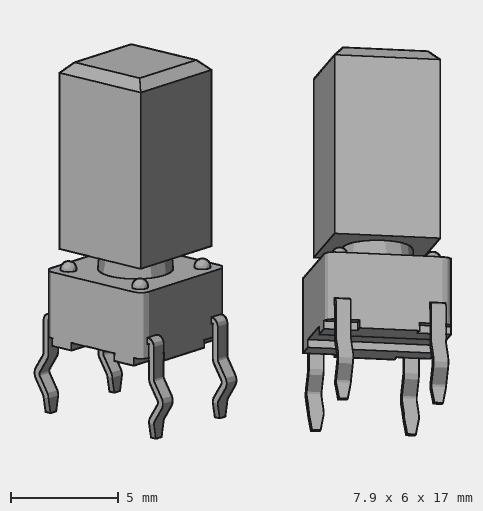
import cadquery as cq
import math

body_side = 6.0
body_height = 3.56
corner_radius = 0.5

foot_height = 0.38
channel_width = 2.65
corner_cut_depth = 0.5
corner_cut_length = 1.59

dome_radius = 0.38
dome_rim_height = 0.03
dome_offset = 2.2

stem_diameter = 3.5
stem_top_diameter = 3.32
stem_height = 1.0
stem_edge_radius = 0.15

leg_reach = 7.9 / 2
leg_outer_x = 3.4
leg_thickness = 0.3
leg_width = 0.7
leg_spacing = 4.5
leg_top_z = 1.36
leg_bottom_z = -3.48
kink_z = -1.65
kink_angle = math.radians(32.5)
bend_radius = 0.5
elbow_radius = 0.38
tip_height = 0.75
tip_width = 0.41
leg_embed = 0.17

cap_side = 5.0
cap_height = 9.0
cap_chamfer = 0.5

body_half = body_side / 2
bend_inner_radius = bend_radius - leg_thickness


def make_block():
    block = (
        cq.Workplane("XY")
        .rect(body_side, body_side)
        .extrude(body_height)
        .edges("|Z")
        .fillet(corner_radius)
    )
    channel = cq.Workplane("XY").rect(channel_width, body_side).extrude(foot_height)
    corner_cuts = (
        cq.Workplane("XY")
        .rect(body_side - corner_cut_depth, body_side - corner_cut_length, forConstruction=True)
        .vertices()
        .rect(corner_cut_depth, corner_cut_length)
        .extrude(foot_height)
    )
    return block.cut(channel).cut(corner_cuts)


def make_stem():
    stem = (
        cq.Workplane("XY", origin=(0, 0, body_height))
        .circle(stem_diameter / 2)
        .workplane(offset=stem_height)
        .circle(stem_top_diameter / 2)
        .loft()
    )
    return stem.faces(">Z").edges().fillet(stem_edge_radius)


def make_dome(x, y):
    """Ball raised on a low rim, with its lower part sunk in the housing."""
    rim = cq.Workplane("XY", origin=(x, y, body_height)).circle(dome_radius).extrude(dome_rim_height)
    ball = cq.Workplane("XY", origin=(x, y, body_height + dome_rim_height)).sphere(dome_radius)
    return rim.union(ball)


def fillet_corners(leg, corners, radius):
    """Round the edges along Y that pass through the given XZ corners."""
    for x, z in corners:
        leg = leg.edges(cq.selectors.NearestToPointSelector((x, 0, z))).fillet(radius)
    return leg


def make_leg():
    """Leg on the +X side, centred on Y = 0: a bent strip with a tapered tip."""
    inner_x = leg_outer_x - leg_thickness
    elbow_under_z = leg_top_z - leg_thickness

    kink_outer_x = leg_reach + bend_radius * (1 / math.cos(kink_angle) - 1)
    kink_inner_x = kink_outer_x - leg_thickness / math.cos(kink_angle)
    outer_rise = (kink_outer_x - leg_outer_x) / math.tan(kink_angle)
    inner_rise = (kink_inner_x - inner_x) / math.tan(kink_angle)

    elbow_outer = (leg_outer_x, leg_top_z)
    elbow_inner = (inner_x, elbow_under_z)
    upper_outer = (leg_outer_x, kink_z + outer_rise)
    upper_inner = (inner_x, kink_z + inner_rise)
    kink_outer = (kink_outer_x, kink_z)
    kink_inner = (kink_inner_x, kink_z)
    lower_outer = (leg_outer_x, kink_z - outer_rise)
    lower_inner = (inner_x, kink_z - inner_rise)

    root_x = body_half - leg_embed
    profile = [
        (root_x, leg_top_z), elbow_outer, upper_outer, kink_outer, lower_outer,
        (leg_outer_x, leg_bottom_z), (inner_x, leg_bottom_z),
        lower_inner, kink_inner, upper_inner, elbow_inner, (root_x, elbow_under_z),
    ]
    leg = cq.Workplane("XZ").polyline(profile).close().extrude(leg_width / 2, both=True)
    leg = fillet_corners(leg, [elbow_outer], elbow_radius)
    leg = fillet_corners(leg, [upper_inner, kink_outer, lower_inner], bend_radius)
    leg = fillet_corners(leg, [upper_outer, kink_inner, lower_outer], bend_inner_radius)

    half_width = leg_width / 2
    half_tip = tip_width / 2
    shoulder_z = leg_bottom_z + tip_height
    outline = (
        cq.Workplane("YZ")
        .polyline([
            (-half_width, leg_top_z), (half_width, leg_top_z), (half_width, shoulder_z),
            (half_tip, leg_bottom_z), (-half_tip, leg_bottom_z), (-half_width, shoulder_z),
        ])
        .close()
        .extrude(kink_outer_x)
    )
    return leg.intersect(outline)


def make_switch():
    """Housing with its stem, domes and legs as one body."""
    switch = make_block().union(make_stem())
    right_leg = make_leg()
    left_leg = right_leg.mirror("YZ")
    for side in (-1, 1):
        for x in (-dome_offset, dome_offset):
            switch = switch.union(make_dome(x, side * dome_offset))
        for leg in (left_leg, right_leg):
            switch = switch.union(leg.translate((0, side * leg_spacing / 2, 0)))
    return switch


def make_cap():
    """Square key cap that rests on the stem, chamfered around its top face."""
    return (
        cq.Workplane("XY", origin=(0, 0, body_height + stem_height))
        .rect(cap_side, cap_side)
        .extrude(cap_height)
        .faces(">Z")
        .edges()
        .chamfer(cap_chamfer)
    )


switch = make_switch()
cap = make_cap()
result = cq.Compound.makeCompound([switch.val(), cap.val()])